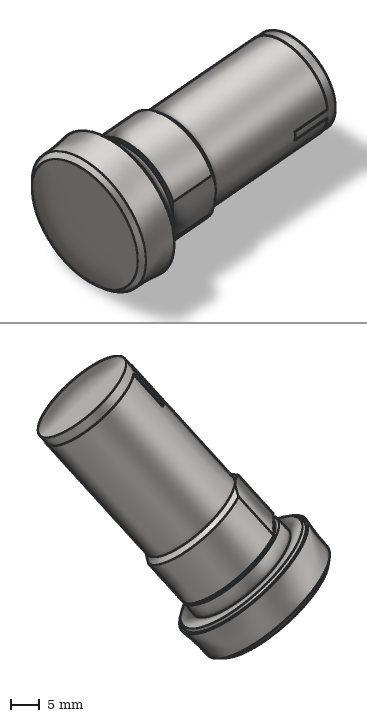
import cadquery as cq

total_length = 51.5
head_chamfer_end = 1.0
lip_position = 7.45
head_back = 8.1
collar_back = 10.95
nut_front = 11.55
nut_chamfer_start = 21.1
nut_back = 22.05
slot_front = 41.5
tail_start = 49.5

face_radius = 13.0
head_radius = 14.0
head_waist_radius = 14.1
lip_diameter = 29.0
lip_radius = lip_diameter / 2
head_step_radius = 14.0
head_back_radius = 13.7
nut_radius = 11.0
collar_radius = 10.85
shaft_radius = 10.05
tail_radius = 9.95

flat_distance = 10.1
slot_width = 2.0


def make_body():
    """Revolve the half profile, including the concave side of the head."""
    waist_position = (head_chamfer_end + lip_position) / 2
    profile = (
        cq.Workplane("XY")
        .lineTo(face_radius, 0)
        .lineTo(head_radius, head_chamfer_end)
        .threePointArc((head_waist_radius, waist_position), (lip_radius, lip_position))
        .lineTo(head_step_radius, lip_position)
        .lineTo(head_back_radius, head_back)
        .lineTo(nut_radius, head_back)
        .lineTo(collar_radius, collar_back)
        .lineTo(shaft_radius, collar_back)
        .lineTo(shaft_radius, nut_front)
        .lineTo(nut_radius, nut_front)
        .lineTo(nut_radius, nut_chamfer_start)
        .lineTo(shaft_radius, nut_back)
        .lineTo(shaft_radius, tail_start)
        .lineTo(tail_radius, tail_start)
        .lineTo(tail_radius, total_length)
        .lineTo(0, total_length)
        .close()
    )
    return profile.revolve(360, (0, 0, 0), (0, 1, 0))


def make_flat_cutter(side):
    """Block that trims one side of the nut section to a flat."""
    depth = nut_radius - flat_distance
    return cq.Workplane("XY").box(
        depth, nut_back - nut_front, 2 * nut_radius, centered=(True, False, True)
    ).translate((side * (flat_distance + depth / 2), nut_front, 0))


def make_slot_cutter():
    """Shallow slots on both sides, with floors flush with the tail."""
    length = tail_start - slot_front
    bar = cq.Workplane("XY").box(
        2 * nut_radius, length, slot_width, centered=(True, False, True)
    )
    core = cq.Workplane("XZ").circle(tail_radius).extrude(-length)
    return bar.cut(core).translate((0, slot_front, 0))


result = make_body()
for side in (-1, 1):
    result = result.cut(make_flat_cutter(side))
result = result.cut(make_slot_cutter()).clean()